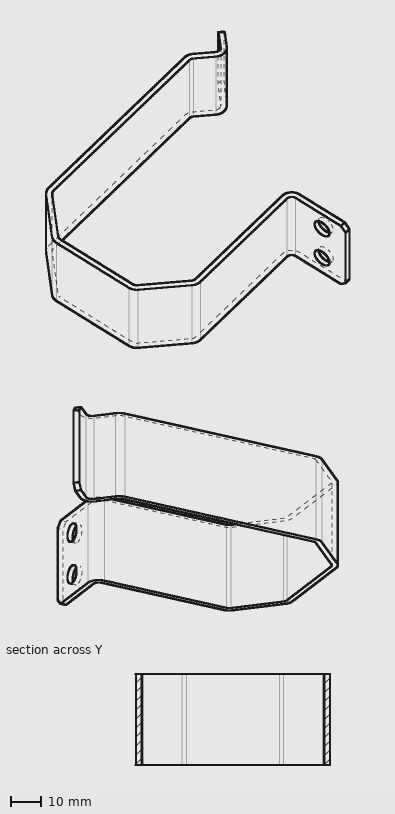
import cadquery as cq
import math

width = 30.0
thickness = 2.0
inner_radius = 2.0
outer_radius = inner_radius + thickness
end_chamfer = 2.0

cradle_width = 63.9
corner_cut = 15.0
long_leg_top = 89.7
overall_height = 106.0

lip_reach = 7.8

flange_end = 87.0
flange_top = 66.1
flange_bottom = flange_top - thickness
hole_diameter = 6.3
hole_spacing = 15.0
hole_end_distance = 10.0


def unit_direction(start, end):
    length = math.dist(start, end)
    return (end[0] - start[0]) / length, (end[1] - start[1]) / length


def mitred_offset(points, distance):
    """Shift an open polyline to its left, keeping sharp corners."""
    directions = [unit_direction(a, b) for a, b in zip(points, points[1:])]
    before = [directions[0]] + directions
    after = directions + [directions[-1]]
    shifted = []
    for (x, y), (ax, ay), (bx, by) in zip(points, before, after):
        mitre = distance / (1 + ax * bx + ay * by)
        shifted.append((x - (ay + by) * mitre, y + (ax + bx) * mitre))
    return shifted


def turns_left(previous, corner, following):
    ax, ay = unit_direction(previous, corner)
    bx, by = unit_direction(corner, following)
    return ax * by - ay * bx > 0


def round_corner(body, point, radius):
    edge = cq.selectors.NearestToPointSelector((point[0], point[1], 0))
    return body.edges("|Z").edges(edge).fillet(radius)


def bent_strip(outside):
    inside = mitred_offset(outside, thickness)
    body = cq.Workplane("XY").polyline(outside + inside[::-1]).close().extrude(width / 2, both=True)
    for i in range(1, len(outside) - 1):
        left_bend = turns_left(*outside[i - 1:i + 2])
        body = round_corner(body, outside[i], outer_radius if left_bend else inner_radius)
        body = round_corner(body, inside[i], inner_radius if left_bend else outer_radius)
    return body


def chamfer_end(body, end_center):
    """Cut both corners of the strip end centred on the given point."""
    for side in (-1, 1):
        edge = cq.selectors.NearestToPointSelector((*end_center, side * width / 2))
        body = body.edges(edge).chamfer(end_chamfer)
    return body


lip_bend_y = long_leg_top + lip_reach
tip_y = overall_height - thickness / math.sqrt(2)
outside_face = [
    (lip_reach - (tip_y - lip_bend_y), tip_y),
    (lip_reach, lip_bend_y),
    (0, long_leg_top),
    (0, corner_cut),
    (corner_cut, 0),
    (cradle_width - corner_cut, 0),
    (cradle_width, corner_cut),
    (cradle_width, flange_bottom),
    (flange_end, flange_bottom),
]
strip = bent_strip(outside_face)

half_diagonal = thickness / 2 / math.sqrt(2)
tip_center = (outside_face[0][0] + half_diagonal, tip_y + half_diagonal)
flange_end_center = (flange_end, flange_bottom + thickness / 2)
strip = chamfer_end(strip, tip_center)
strip = chamfer_end(strip, flange_end_center)

hole_cutters = (
    cq.Workplane("XZ", origin=(flange_end - hole_end_distance, flange_top, 0))
    .pushPoints([(0, -hole_spacing / 2), (0, hole_spacing / 2)])
    .circle(hole_diameter / 2)
    .extrude(thickness)
)
result = strip.cut(hole_cutters)